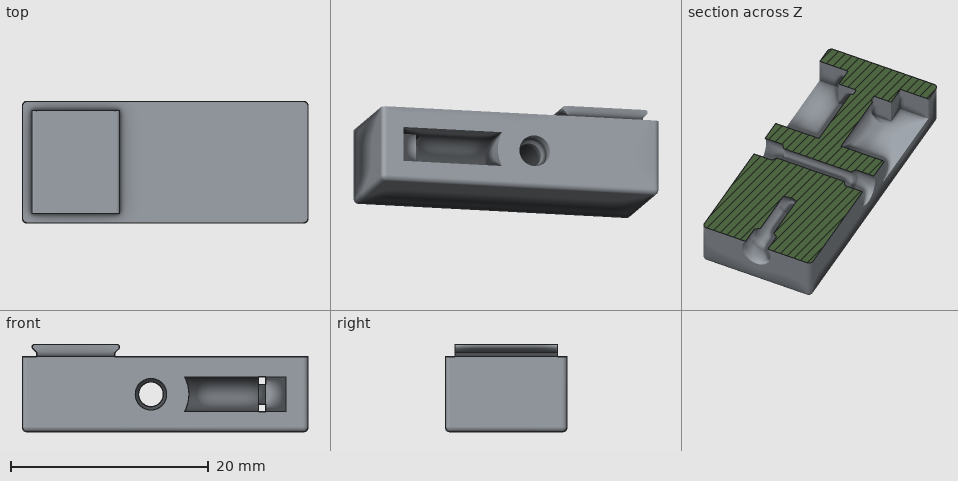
import cadquery as cq
import math

body_length = 28.9
body_width = 12.3
body_height = 7.6
edge_radius = 0.5
mid_height = body_height / 2

plate_center_x = 5.4
plate_length = 8.85
plate_width = 10.4
plate_height = 1.25
neck_height = 0.4
tip_radius = 0.25
flank_angle = 45

hole_radius = 1.25
bore_radius = 1.6
bore_depth = 2.0
shoulder_depth = bore_depth + bore_radius - hole_radius
cross_hole_x = 13
end_hole_depth = 7.5
drill_tip_angle = 118

slot_height = 3.5
slot_end_x = 26.67
slot_corner_x = 16.42
trough_end_x = 23.9
block_start_x = 24.6
trough_depth = 5.2
block_pocket_depth = 3.18
trough_radius = slot_height / 2

bar_size = 2.02


def make_body():
    block = cq.Workplane("XY").box(
        body_length, body_width, body_height, centered=(False, True, False)
    )
    return block.edges("|Z").fillet(edge_radius).faces("<Z").edges().fillet(edge_radius)


def make_plate():
    """Dovetail bar with tips rounded tangent to the top face and the sloping flanks."""
    tip_x = plate_length / 2
    arc_center_x = tip_x - tip_radius
    arc_center_z = plate_height - tip_radius
    end_angle = math.radians(flank_angle - 90)
    mid_angle = math.radians(flank_angle / 2)
    arc_end = (
        arc_center_x + tip_radius * math.cos(end_angle),
        arc_center_z + tip_radius * math.sin(end_angle),
    )
    arc_mid = (
        arc_center_x + tip_radius * math.cos(mid_angle),
        arc_center_z + tip_radius * math.sin(mid_angle),
    )
    flank_height = arc_end[1] - neck_height
    neck_half_length = arc_end[0] - flank_height / math.tan(math.radians(flank_angle))
    half_profile = (
        cq.Workplane("XZ")
        .moveTo(0, 0)
        .lineTo(neck_half_length, 0)
        .lineTo(neck_half_length, neck_height)
        .lineTo(*arc_end)
        .threePointArc(arc_mid, (arc_center_x, plate_height))
        .lineTo(0, plate_height)
        .close()
    )
    half_plate = half_profile.extrude(plate_width / 2, both=True)
    plate = half_plate.union(half_plate.mirror("YZ"))
    return plate.translate((plate_center_x, 0, body_height))


def make_hole_cutter(depth, tip_length):
    """Stepped hole along +X from the origin; a zero tip length leaves a flat end."""
    profile = (
        cq.Workplane("XY")
        .moveTo(0, 0)
        .lineTo(0, bore_radius)
        .lineTo(bore_depth, bore_radius)
        .lineTo(shoulder_depth, hole_radius)
        .lineTo(depth, hole_radius)
        .lineTo(depth + tip_length, 0)
        .close()
    )
    return profile.revolve(360, (0, 0, 0), (1, 0, 0))


def make_cross_hole():
    """Through hole along Y, built from two identical halves."""
    front_half = (
        make_hole_cutter(body_width / 2, 0)
        .rotate((0, 0, 0), (0, 0, 1), 90)
        .translate((cross_hole_x, -body_width / 2, mid_height))
    )
    return front_half.union(front_half.mirror("XZ"))


def make_end_hole():
    """Blind drilled hole along X from the left end."""
    tip_length = hole_radius / math.tan(math.radians(drill_tip_angle / 2))
    return make_hole_cutter(end_hole_depth, tip_length).translate((0, 0, mid_height))


def slot_box(start_x, end_x, depth):
    """Box of slot height cut in from the front side."""
    return (
        cq.Workplane("XY")
        .box(end_x - start_x, depth, slot_height, centered=(False, False, True))
        .translate((start_x, -body_width / 2, mid_height))
    )


def make_front_slot():
    flat_depth = trough_depth - trough_radius
    round_back = (
        cq.Workplane("YZ", origin=(cross_hole_x, flat_depth - body_width / 2, mid_height))
        .circle(trough_radius)
        .extrude(trough_end_x - cross_hole_x)
    )
    trough = slot_box(cross_hole_x, trough_end_x, flat_depth).union(round_back)

    end_wall_radius = math.hypot(slot_corner_x - cross_hole_x, slot_height / 2)
    end_wall = (
        cq.Workplane("XZ")
        .circle(end_wall_radius)
        .extrude(body_width / 2, both=True)
        .translate((cross_hole_x, 0, mid_height))
    )
    trough = trough.cut(end_wall)

    gap = slot_box(trough_end_x, block_start_x, body_width / 2)
    bar = (
        cq.Workplane("XY")
        .box(block_start_x - trough_end_x, bar_size, bar_size, centered=(False, True, True))
        .translate((trough_end_x, 0, mid_height))
    )
    pocket = slot_box(block_start_x, slot_end_x, block_pocket_depth)
    return trough.union(gap.cut(bar)).union(pocket)


front_slot = make_front_slot()
result = (
    make_body()
    .union(make_plate())
    .cut(make_cross_hole())
    .cut(make_end_hole())
    .cut(front_slot)
    .cut(front_slot.mirror("XZ"))
)